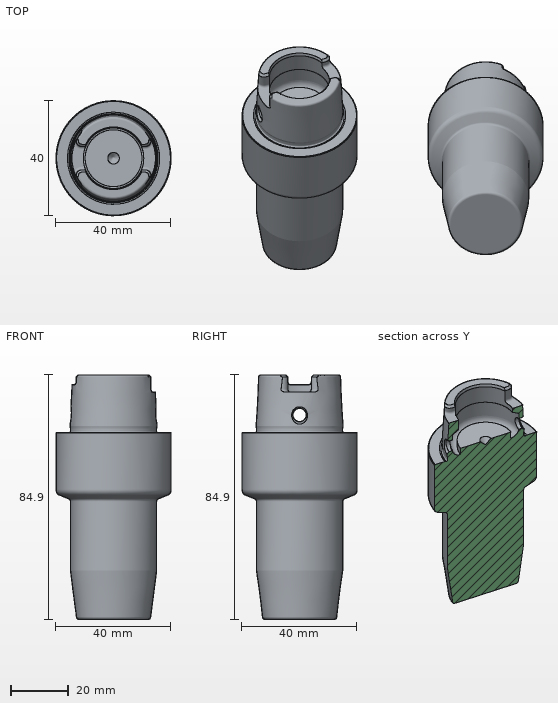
import cadquery as cq
import math


flange_radius = 20.0
flange_chamfer = 0.25
flange_straight_bottom = -20.0
flange_fillet = 2.0
shoulder_angle = math.radians(22.0)
shoulder_inner_fillet = 1.0

body_radius = 15.0
body_bottom = -48.0
nose_bottom = -65.0
nose_end_radius = 12.8
nose_fillet = 1.0

shank_top = 19.9
taper_base_z = 2.1
taper_base_radius = 15.14
taper_ratio = 9.98
shank_top_fillet = 0.8
neck_radius = 14.98
neck_top = 1.3
neck_fillet = 0.5
relief_radius = 16.0
relief_depth = 0.2

bore_radius = 10.5
bore_chamfer = 0.35
bore_chamfer_length = 1.0
bore_lip_depth = 7.9
chamber_radius = 12.9
chamber_lip_angle = math.radians(30.0)
chamber_floor_depth = 19.0
boss_radius = 9.86
boss_top_depth = 16.3
center_radius = 2.0
center_depth = 2.0

slot_half_width = 4.05
slot_flat_x = 13.0
slot_corner_radius = 2.0
slot_floor_fillet = 1.0
slot_mouth_chamfer = 0.8
near_slot_depth = 3.4
far_slot_depth = 6.0

cross_hole_radius = 2.3
cross_hole_z = 6.0
cross_hole_mouth_radius = 3.0


def taper_radius(z):
    return taper_base_radius - (z - taper_base_z) / (2 * taper_ratio)


def make_body():
    """Revolved outside of the tool holder."""
    sin_a = math.sin(shoulder_angle)
    cos_a = math.cos(shoulder_angle)
    fillet_center_r = flange_radius - flange_fillet
    shoulder_r = fillet_center_r + flange_fillet * sin_a
    shoulder_z = flange_straight_bottom - flange_fillet * cos_a
    mid_angle = math.pi / 4 - shoulder_angle / 2
    fillet_mid = (
        fillet_center_r + flange_fillet * math.cos(mid_angle),
        flange_straight_bottom - flange_fillet * math.sin(mid_angle),
    )
    inner_center_r = body_radius + shoulder_inner_fillet
    inner_start_r = inner_center_r - shoulder_inner_fillet * sin_a
    inner_start_z = shoulder_z - (shoulder_r - inner_start_r) * math.tan(shoulder_angle)
    inner_center_z = inner_start_z - shoulder_inner_fillet * cos_a
    inner_mid = (
        inner_center_r - shoulder_inner_fillet * math.cos(mid_angle),
        inner_center_z + shoulder_inner_fillet * math.sin(mid_angle),
    )
    neck_slant = neck_fillet * (1 - math.sqrt(0.5))
    neck_mid = (neck_radius + neck_slant, neck_slant - relief_depth)
    profile = (
        cq.Workplane("XZ")
        .moveTo(0, nose_bottom)
        .lineTo(nose_end_radius, nose_bottom)
        .lineTo(body_radius, body_bottom)
        .lineTo(body_radius, inner_center_z)
        .threePointArc(inner_mid, (inner_start_r, inner_start_z))
        .lineTo(shoulder_r, shoulder_z)
        .threePointArc(fillet_mid, (flange_radius, flange_straight_bottom))
        .lineTo(flange_radius, -flange_chamfer)
        .lineTo(flange_radius - flange_chamfer, 0)
        .lineTo(relief_radius, 0)
        .lineTo(neck_radius + neck_fillet, -relief_depth)
        .threePointArc(neck_mid, (neck_radius, neck_fillet - relief_depth))
        .lineTo(neck_radius, neck_top)
        .lineTo(taper_base_radius, taper_base_z)
        .lineTo(taper_radius(shank_top), shank_top)
        .lineTo(0, shank_top)
        .close()
    )
    body = profile.revolve(360, (0, 0, 0), (0, 1, 0))
    body = body.faces(">Z").edges().fillet(shank_top_fillet)
    return body.faces("<Z").edges().fillet(nose_fillet)


def make_bore():
    """Bore with an undercut chamber, rounded floor edge and a low boss with a centre point."""
    lip_z = shank_top - bore_lip_depth
    lip_back_z = lip_z - (chamber_radius - bore_radius) * math.tan(chamber_lip_angle)
    floor_z = shank_top - chamber_floor_depth
    boss_top_z = shank_top - boss_top_depth
    floor_fillet = chamber_radius - boss_radius
    slant = floor_fillet * (1 - math.sqrt(0.5))
    return (
        cq.Workplane("XZ")
        .moveTo(0, shank_top)
        .lineTo(bore_radius + bore_chamfer, shank_top)
        .lineTo(bore_radius, shank_top - bore_chamfer_length)
        .lineTo(bore_radius, lip_z)
        .lineTo(chamber_radius, lip_back_z)
        .lineTo(chamber_radius, floor_z + floor_fillet)
        .threePointArc((chamber_radius - slant, floor_z + slant), (boss_radius, floor_z))
        .lineTo(boss_radius, boss_top_z)
        .lineTo(center_radius, boss_top_z)
        .lineTo(0, boss_top_z - center_depth)
        .close()
        .revolve(360, (0, 0, 0), (0, 1, 0))
    )


def slot_outline(side, z):
    """Plan outline of a slot at height z; its walls round outwards onto a flat."""
    reach = flange_radius
    corner_x = slot_flat_x - slot_corner_radius
    corner_y = slot_half_width + slot_corner_radius
    slant = slot_corner_radius * (1 - math.sqrt(0.5))
    return (
        cq.Workplane("XY", origin=(0, 0, z))
        .moveTo(0, -slot_half_width)
        .lineTo(side * corner_x, -slot_half_width)
        .threePointArc(
            (side * (slot_flat_x - slant), -slot_half_width - slant),
            (side * slot_flat_x, -corner_y),
        )
        .lineTo(side * slot_flat_x, -reach)
        .lineTo(side * reach, -reach)
        .lineTo(side * reach, reach)
        .lineTo(side * slot_flat_x, reach)
        .lineTo(side * slot_flat_x, corner_y)
        .threePointArc(
            (side * (slot_flat_x - slant), slot_half_width + slant),
            (side * corner_x, slot_half_width),
        )
        .lineTo(0, slot_half_width)
        .close()
    )


def make_slot(side, depth):
    """Driving slot with a filleted floor."""
    slot = slot_outline(side, shank_top - depth).extrude(depth)
    return slot.faces("<Z").edges().fillet(slot_floor_fillet)


def make_slotted_block():
    """Block around the whole part, slotted at the top, with the slot mouths chamfered."""
    width = 2 * flange_radius
    height = shank_top - nose_bottom
    block = cq.Workplane("XY", origin=(0, 0, nose_bottom)).rect(width, width).extrude(height)
    for side, depth in ((-1, near_slot_depth), (1, far_slot_depth)):
        block = block.cut(make_slot(side, depth))
    return block.faces(">Z").edges("not(<Y or >Y)").chamfer(slot_mouth_chamfer)


def make_cross_hole():
    """Radial hole along X with a countersunk mouth at each side."""
    hole = (
        cq.Workplane("YZ")
        .center(0, cross_hole_z)
        .circle(cross_hole_radius)
        .extrude(flange_radius, both=True)
    )
    mouth_x = taper_radius(cross_hole_z)
    mouth_depth = cross_hole_mouth_radius - cross_hole_radius
    for side in (-1, 1):
        mouth = cq.Solid.makeCone(
            cross_hole_radius,
            cross_hole_mouth_radius + mouth_depth,
            2 * mouth_depth,
            cq.Vector(side * (mouth_x - mouth_depth), 0, cross_hole_z),
            cq.Vector(side, 0, 0),
        )
        hole = hole.union(cq.Workplane(mouth))
    return hole


result = make_body().intersect(make_slotted_block())
result = result.cut(make_bore()).cut(make_cross_hole())